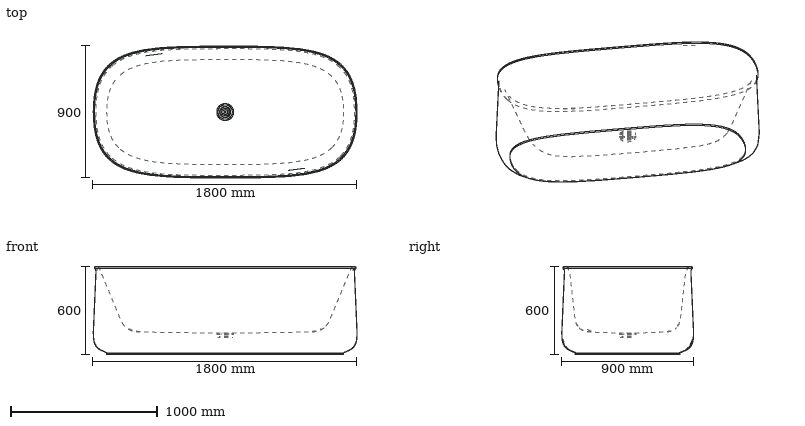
import cadquery as cq
LENGTH = 1800.0
WIDTH = 900.0
HEIGHT = 600.0

BODY_FULLNESS = (1.0, 0.66)
FLOOR_FULLNESS = (0.95, 0.95)
CIRCLE_FULLNESS = (0.5523, 0.5523)

PLINTH_HEIGHT = 10.0
PLINTH_INSET = 92.0
BELLY_Z = 151.0
NECK_Z = 563.0
NECK_INSET = 18.0
LIP_UNDER_Z = 585.0
LIP_INSET = 9.0
OUTER_CREST_INSET = 18.0
INNER_CREST_INSET = 22.0

RIM_EDGE = (41.0, 41.0, 587.0)
SHOULDER = (52.0, 52.0, 560.0)
WALL_TOP = (63.0, 58.0, 536.0)
WALL_MIDDLE = (122.0, 74.0, 392.0)
WALL_FOOT = (182.0, 90.0, 248.0)
FLOOR_EDGE = (322.0, 198.0, 153.0)
BOTTOM_STEPS = 4

DRAIN_Z = 145.0
FLANGE_RADIUS = 58.0
FLANGE_THICKNESS = 9.0
FUNNEL_RADIUS = 49.0
FUNNEL_BORE = 38.0
FUNNEL_SLOPE_DEPTH = 10.0
FUNNEL_FLOOR_DEPTH = 22.0
FUNNEL_BOTTOM_DEPTH = 29.0
PLUG_RADIUS = 35.0
PLUG_EDGE_DEPTH = 9.0
PLUG_CROWN_DEPTH = 5.0
KNOB_RADIUS = 25.0
KNOB_SEAT_DEPTH = 15.0
KNOB_TOP_RADIUS = 16.0
KNOB_SHOULDER_DEPTH = 7.0
DIMPLE_RADIUS = 5.0
DIMPLE_DEPTH = 4.0


def blend(start, end, share):
    return tuple(a + (b - a) * share for a, b in zip(start, end))


def bezier(controls, share):
    """Point on the Bezier curve of the control points, by repeated blending."""
    while len(controls) > 1:
        controls = [blend(a, b, share) for a, b in zip(controls, controls[1:])]
    return controls[0]


def outline(half_length, half_width, z, fullness):
    """Closed oval at height z, made of one Bezier curve per quarter."""
    end_pull = half_width * fullness[0]
    side_pull = half_length * fullness[1]
    quarter = [(half_length, 0), (half_length, end_pull), (side_pull, half_width), (0, half_width)]
    edges = []
    for x_sign, y_sign in [(1, 1), (-1, 1), (-1, -1), (1, -1)]:
        points = [cq.Vector(x_sign * x, y_sign * y, z) for x, y in quarter]
        if x_sign != y_sign:
            points.reverse()
        edges.append(cq.Edge.makeBezier(points))
    return cq.Wire.assembleEdges(edges)


def outer_outline(inset, z):
    return outline(LENGTH / 2 - inset, WIDTH / 2 - inset, z, BODY_FULLNESS)


def bowl_outline(level, fullness=BODY_FULLNESS):
    end_inset, side_inset, z = level
    return outline(LENGTH / 2 - end_inset, WIDTH / 2 - side_inset, z, fullness)


def loft(wires, ruled=False):
    return cq.Workplane(cq.Solid.makeLoft(wires, ruled))


def make_outer_form():
    curve = [(PLINTH_INSET, PLINTH_HEIGHT), (18.0, 40.0), (0.0, 60.0), (0.0, BELLY_Z)]
    bottom = loft([outer_outline(*bezier(curve, i / BOTTOM_STEPS)) for i in range(BOTTOM_STEPS + 1)])
    wall = loft([outer_outline(0, BELLY_Z), outer_outline(NECK_INSET, NECK_Z)], ruled=True)
    neck = loft([
        outer_outline(NECK_INSET, NECK_Z),
        outer_outline(16.0, 578.0),
        outer_outline(LIP_INSET, LIP_UNDER_Z),
    ])
    lip = loft([
        outer_outline(LIP_INSET, LIP_UNDER_Z),
        outer_outline(LIP_INSET, 594.0),
        outer_outline(OUTER_CREST_INSET, HEIGHT),
    ])
    return bottom.union(wall).union(neck).union(lip)


def make_bowl():
    rim_round = loft([
        bowl_outline(RIM_EDGE),
        bowl_outline((36.0, 36.0, 594.0)),
        bowl_outline((INNER_CREST_INSET, INNER_CREST_INSET, HEIGHT)),
    ])
    levels = [WALL_FOOT, WALL_MIDDLE, WALL_TOP, SHOULDER, RIM_EDGE]
    bowl = rim_round
    for lower, upper in zip(levels, levels[1:]):
        bowl = bowl.union(loft([bowl_outline(lower), bowl_outline(upper)], ruled=True))

    curve = [FLOOR_EDGE, (252.0, 144.0, 153.0), (210.0, 99.0, 176.0), WALL_FOOT]
    wires = []
    for i in range(BOTTOM_STEPS + 1):
        share = i / BOTTOM_STEPS
        fullness = blend(FLOOR_FULLNESS, BODY_FULLNESS, share)
        wires.append(bowl_outline(bezier(curve, share), fullness))
    bowl = bowl.union(loft(wires))

    drain_edge = outline(FLANGE_RADIUS, FLANGE_RADIUS, DRAIN_Z, CIRCLE_FULLNESS)
    return bowl.union(loft([drain_edge, bowl_outline(FLOOR_EDGE, FLOOR_FULLNESS)], ruled=True))


def disc(radius, top_depth, bottom_depth):
    """Round plate about the Z axis between two depths below the floor at the drain."""
    return cq.Workplane(origin=(0, 0, DRAIN_Z - bottom_depth)).circle(radius).extrude(bottom_depth - top_depth)


def revolve_profile(points):
    """Solid of revolution about Z from (radius, depth below the floor at the drain) points."""
    return (
        cq.Workplane("XZ")
        .polyline([(radius, DRAIN_Z - depth) for radius, depth in points])
        .close()
        .revolve(360, (0, 0, 0), (0, 1, 0))
    )


def make_tub():
    flange_seat = disc(FLANGE_RADIUS, 0, FLANGE_THICKNESS)
    funnel_seat = disc(FUNNEL_RADIUS, 0, FUNNEL_BOTTOM_DEPTH)
    return make_outer_form().cut(make_bowl()).cut(flange_seat).cut(funnel_seat)


def make_plinth():
    return loft([outer_outline(PLINTH_INSET, 0), outer_outline(PLINTH_INSET, PLINTH_HEIGHT)], ruled=True)


def make_drain_flange():
    return disc(FLANGE_RADIUS, 0, FLANGE_THICKNESS).cut(disc(FUNNEL_RADIUS, 0, FLANGE_THICKNESS))


def make_drain_funnel():
    return revolve_profile([
        (0, FUNNEL_BOTTOM_DEPTH),
        (FUNNEL_RADIUS, FUNNEL_BOTTOM_DEPTH),
        (FUNNEL_RADIUS, 0),
        (FUNNEL_BORE, FUNNEL_SLOPE_DEPTH),
        (FUNNEL_BORE, FUNNEL_FLOOR_DEPTH),
        (0, FUNNEL_FLOOR_DEPTH),
    ])


def make_drain_plug():
    return revolve_profile([
        (0, FUNNEL_FLOOR_DEPTH),
        (PLUG_RADIUS, FUNNEL_FLOOR_DEPTH),
        (PLUG_RADIUS, PLUG_EDGE_DEPTH),
        (KNOB_RADIUS, PLUG_CROWN_DEPTH),
        (KNOB_RADIUS, KNOB_SEAT_DEPTH),
        (0, KNOB_SEAT_DEPTH),
    ])


def make_plug_knob():
    return revolve_profile([
        (0, KNOB_SEAT_DEPTH),
        (KNOB_RADIUS, KNOB_SEAT_DEPTH),
        (KNOB_RADIUS, KNOB_SHOULDER_DEPTH),
        (KNOB_TOP_RADIUS, 0),
        (DIMPLE_RADIUS, 0),
        (DIMPLE_RADIUS, DIMPLE_DEPTH),
        (0, DIMPLE_DEPTH),
    ])


tub = make_tub()
plinth = make_plinth()
drain_flange = make_drain_flange()
drain_funnel = make_drain_funnel()
drain_plug = make_drain_plug()
plug_knob = make_plug_knob()

result = cq.Compound.makeCompound([
    tub.val(),
    plinth.val(),
    drain_flange.val(),
    drain_funnel.val(),
    drain_plug.val(),
    plug_knob.val(),
])